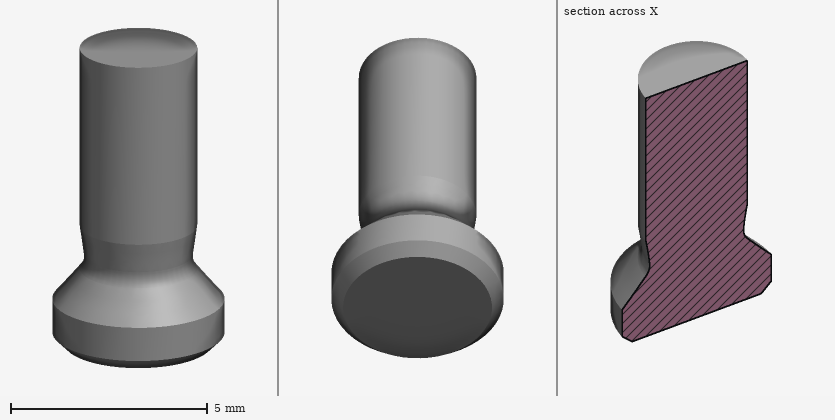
import cadquery as cq
import math

head_radius = 2.2
shaft_radius = 1.5
waist_radius = 1.36
waist_fillet = 0.5

overall_height = 8.0
rim_chamfer = 0.3
rim_top = 1.2
waist_height = 2.2
shaft_start = 3.2

lower_angle = math.atan2(head_radius - waist_radius, waist_height - rim_top)
upper_angle = math.atan2(shaft_radius - waist_radius, shaft_start - waist_height)
tangent_length = waist_fillet * math.tan((lower_angle + upper_angle) / 2)

arc_start = (
    waist_radius + tangent_length * math.sin(lower_angle),
    waist_height - tangent_length * math.cos(lower_angle),
)
arc_end = (
    waist_radius + tangent_length * math.sin(upper_angle),
    waist_height + tangent_length * math.cos(upper_angle),
)

profile = (
    cq.Workplane("XZ")
    .lineTo(head_radius - rim_chamfer, 0)
    .lineTo(head_radius, rim_chamfer)
    .lineTo(head_radius, rim_top)
    .lineTo(*arc_start)
    .radiusArc(arc_end, waist_fillet)
    .lineTo(shaft_radius, shaft_start)
    .lineTo(shaft_radius, overall_height)
    .lineTo(0, overall_height)
    .close()
)

result = profile.revolve(360, (0, 0, 0), (0, 1, 0))